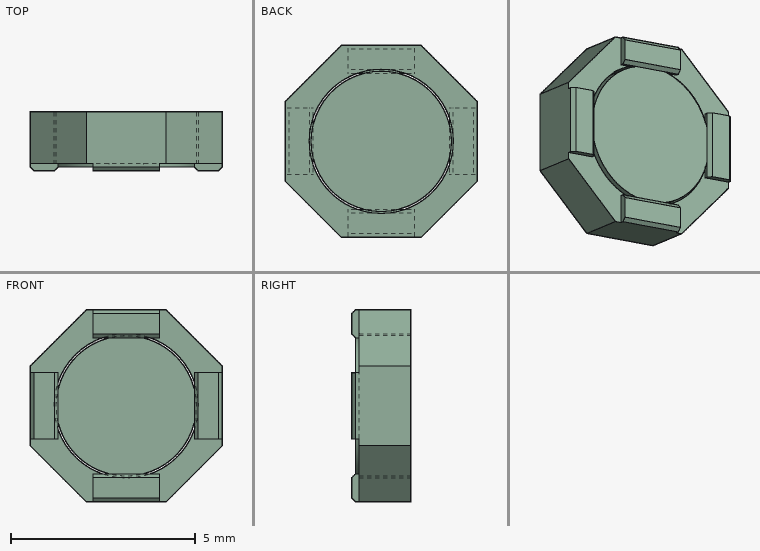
import cadquery as cq
import math

width = 5.2
depth = 1.6

pad_height = 0.205
pad_length = 1.8
pad_width = 0.76
pad_chamfer = 0.105
core_rise = 0.1

core_radius = 1.9
bore_radius = 1.95

back_y = depth / 2
pad_face_y = -depth / 2
body_face_y = pad_face_y + pad_height
core_face_y = body_face_y - core_rise


def make_frame():
    """Regular octagonal ring, flat sides facing the X and Z axes."""
    corner_diameter = width / math.cos(math.pi / 8)
    return (
        cq.Workplane("XZ", origin=(0, back_y, 0))
        .transformed(rotate=(0, 0, 22.5))
        .polygon(8, corner_diameter)
        .circle(bore_radius)
        .extrude(back_y - body_face_y)
    )


def make_core():
    """Cylinder flush with the back of the frame and raised at its front."""
    return (
        cq.Workplane("XZ", origin=(0, back_y, 0))
        .circle(core_radius)
        .extrude(back_y - core_face_y)
    )


def make_pad(angle):
    """Terminal pad on one flat side, bridging the gap between frame and core."""
    pad = (
        cq.Workplane("XY")
        .box(pad_width, pad_height, pad_length)
        .faces("<Y")
        .edges("|Z")
        .chamfer(pad_chamfer)
        .translate(((width - pad_width) / 2, pad_face_y + pad_height / 2, 0))
    )
    return pad.rotate((0, 0, 0), (0, 1, 0), angle)


result = make_frame().union(make_core())
for side_angle in (0, 90, 180, 270):
    result = result.union(make_pad(side_angle))